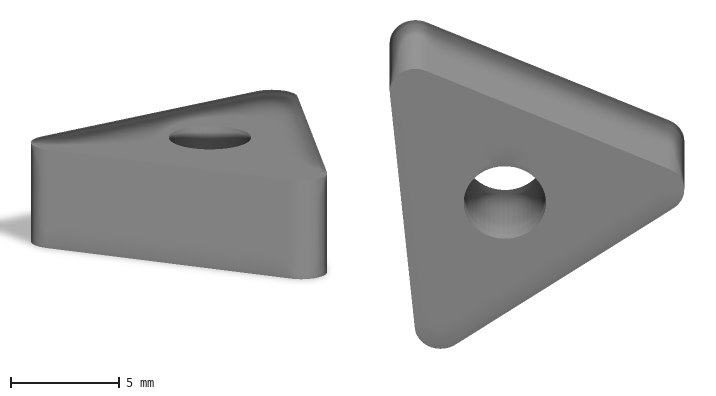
import cadquery as cq
import math

overall_width = 14.75
thickness = 4.76
corner_radius = 1.2
hole_diameter = 3.8

corner_spacing = overall_width - 2 * corner_radius
corner_center_distance = corner_spacing / math.sqrt(3)
vertex_distance = corner_center_distance + 2 * corner_radius

vertices = []
for angle_degrees in (90, 210, 330):
    angle = math.radians(angle_degrees)
    vertices.append((vertex_distance * math.cos(angle), vertex_distance * math.sin(angle)))

body = cq.Workplane("XY").polyline(vertices).close().extrude(thickness)
body = body.edges("|Z").fillet(corner_radius)

result = body.faces(">Z").workplane(origin=(0, 0, 0)).hole(hole_diameter)